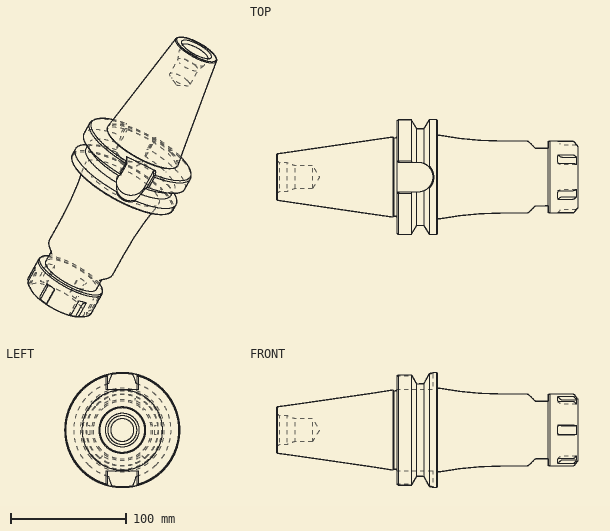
import cadquery as cq
import math

length = 261.8
flange_r = 50.0

tolerance = 0.03

taper_end_x = 101.0
taper_small_r = 20.2
taper_slope = 7 / 48
taper_end_r = taper_small_r + taper_slope * taper_end_x
shank_chamfer = 0.8
relief_depth = 0.8
relief_fillet = 1.0

flange_x = 104.5
flange_end_x = 139.8
flange_rim_length = 1.5
flange_rim_depth = 1.0
flange_back_chamfer = 0.8
groove_center_x = 125.0
groove_floor_width = 6.3
groove_r = 42.1
groove_flank_angle = 31.0

drive_slot_width = 25.7
drive_slot_end_x = 136.0
drive_slot_floor_z = 35.3
drive_slot_chamfer = 1.3
drive_slot_end_chamfer = 0.8

collar_r = 36.5
collar_end_x = 141.6
body_r = 31.5
flare_end_x = 195.0
shoulder_x = 218.3
shoulder_fillet = 3.7
neck_r = 25.1
neck_fillet = 1.0

bore_mouth_r = 14.7
bore_mouth_length = 2.5
counterbore_r = 12.5
counterbore_depth = 9.2
bore_seat_r = 11.3
bore_seat_depth = 12.3
thread_r = 10.0
thread_start = 16.0
thread_end = 31.5
bore_point_angle = 59.0

nut_x = 236.0
nut_r = body_r
nut_back_chamfer_length = 1.5
nut_back_chamfer_depth = 0.5
nut_nose_x = 258.1
nut_nose_r = 26.5
nut_nose_fillet = 2.0

spanner_slot_count = 6
spanner_slot_width = 8.6
spanner_slot_floor_width = 7.3
spanner_slot_x = 244.0
spanner_slot_floor_r = 28.0
spanner_slot_ramp_length = 3.0
spanner_slot_fillet = 3.1


def revolve_about_x(profile):
    """Solid of revolution about the X axis from a closed XY profile."""
    return profile.close().revolve(360, (0, 0, 0), (1, 0, 0))


def rim_at(x):
    """Selector for the circular edge of a turned solid at one X position."""
    low = (x - tolerance, -flange_r - tolerance, -flange_r - tolerance)
    high = (x + tolerance, flange_r + tolerance, flange_r + tolerance)
    return cq.selectors.BoxSelector(low, high, boundingbox=True)


def holder_blank():
    """Turned outside of the holder, from the shank to the neck."""
    half_floor = groove_floor_width / 2
    flank_run = (flange_r - groove_r) * math.tan(math.radians(groove_flank_angle))
    relief_r = taper_end_r - relief_depth

    flare_run = flare_end_x - collar_end_x
    flare_rise = collar_r - body_r
    flare_arc_r = (flare_run**2 + flare_rise**2) / (2 * flare_rise)
    flare_mid_x = flare_end_x - flare_run / 2
    flare_mid_r = body_r + flare_arc_r - math.sqrt(flare_arc_r**2 - (flare_run / 2) ** 2)

    neck_x = shoulder_x + body_r - neck_r

    profile = (
        cq.Workplane("XY")
        .moveTo(0, 0)
        .lineTo(0, taper_small_r - shank_chamfer)
        .lineTo(shank_chamfer, taper_small_r + taper_slope * shank_chamfer)
        .lineTo(taper_end_x, taper_end_r)
        .lineTo(taper_end_x + relief_depth, relief_r)
        .lineTo(flange_x - relief_fillet, relief_r)
        .radiusArc((flange_x, relief_r + relief_fillet), -relief_fillet)
        .lineTo(flange_x, flange_r - flange_rim_depth)
        .lineTo(flange_x + flange_rim_length, flange_r)
        .lineTo(groove_center_x - half_floor - flank_run, flange_r)
        .lineTo(groove_center_x - half_floor, groove_r)
        .lineTo(groove_center_x + half_floor, groove_r)
        .lineTo(groove_center_x + half_floor + flank_run, flange_r)
        .lineTo(flange_end_x - flange_back_chamfer, flange_r)
        .lineTo(flange_end_x, flange_r - flange_back_chamfer)
        .lineTo(flange_end_x, collar_r)
        .lineTo(collar_end_x, collar_r)
        .threePointArc((flare_mid_x, flare_mid_r), (flare_end_x, body_r))
        .lineTo(shoulder_x, body_r)
        .lineTo(neck_x, neck_r)
        .lineTo(nut_x, neck_r)
        .lineTo(nut_x, 0)
    )
    blank = revolve_about_x(profile)
    blank = blank.edges(rim_at(shoulder_x)).fillet(shoulder_fillet)
    return blank.edges(rim_at(neck_x)).fillet(neck_fillet)


def draw_bar_bore():
    """Stepped blind bore with a conical bottom."""
    point_length = thread_r / math.tan(math.radians(bore_point_angle))
    profile = (
        cq.Workplane("XY")
        .moveTo(0, 0)
        .lineTo(0, bore_mouth_r)
        .lineTo(bore_mouth_length, counterbore_r)
        .lineTo(counterbore_depth, counterbore_r)
        .lineTo(bore_seat_depth, bore_seat_r)
        .lineTo(thread_start, thread_r)
        .lineTo(thread_end, thread_r)
        .lineTo(thread_end + point_length, 0)
    )
    return revolve_about_x(profile)


def drive_slot():
    """Round-ended slot cutter above the +Z slot floor, open toward the shank."""
    half_width = drive_slot_width / 2
    center_x = drive_slot_end_x - half_width
    return (
        cq.Workplane("XY", origin=(0, 0, drive_slot_floor_z))
        .moveTo(flange_x, -half_width)
        .lineTo(center_x, -half_width)
        .threePointArc((drive_slot_end_x, 0), (center_x, half_width))
        .lineTo(flange_x, half_width)
        .close()
        .extrude(flange_r)
    )


class DriveSlotRim(cq.Selector):
    """Edges between two X positions where the slot walls meet the flange rim or its front face."""

    def __init__(self, start_x, end_x):
        self.start_x = start_x
        self.end_x = end_x

    def filter(self, edges):
        return [edge for edge in edges if self.on_rim(edge)]

    def on_rim(self, edge):
        middle = edge.positionAt(0.5)
        on_wall = abs(middle.y) < drive_slot_width / 2 + tolerance
        above_floor = abs(middle.z) > drive_slot_floor_z + tolerance
        middle_r = math.hypot(middle.y, middle.z)
        on_outside = middle_r > flange_r - flange_rim_depth or middle.x < flange_x + tolerance
        in_range = self.start_x - tolerance < middle.x < self.end_x
        return on_wall and above_floor and on_outside and in_range


def make_holder():
    holder = holder_blank().cut(draw_bar_bore())
    for turn in (0, 180):
        holder = holder.cut(drive_slot().rotate((0, 0, 0), (1, 0, 0), turn))
    slot_center_x = drive_slot_end_x - drive_slot_width / 2
    holder = holder.edges(DriveSlotRim(flange_x, slot_center_x)).chamfer(drive_slot_chamfer)
    return holder.edges(DriveSlotRim(slot_center_x, flange_end_x)).chamfer(drive_slot_end_chamfer)


def spanner_slot():
    """Slot cutter on the +Y side of the nut with a ramped, rounded inner end."""
    depth = nut_r - spanner_slot_floor_r
    top_r = nut_r + depth
    half_floor = spanner_slot_floor_width / 2
    half_top = spanner_slot_width - half_floor
    ramp_start_x = spanner_slot_x - spanner_slot_ramp_length
    ramp_foot_x = spanner_slot_x + spanner_slot_ramp_length

    side = (
        cq.Workplane("XY", origin=(0, 0, -half_top))
        .moveTo(ramp_start_x, top_r)
        .lineTo(ramp_foot_x, spanner_slot_floor_r)
        .lineTo(length, spanner_slot_floor_r)
        .lineTo(length, top_r)
        .close()
        .extrude(2 * half_top)
    )
    ramp_foot = cq.selectors.NearestToPointSelector((ramp_foot_x, spanner_slot_floor_r, 0))
    side = side.edges("|Z").edges(ramp_foot).fillet(spanner_slot_fillet)

    section = (
        cq.Workplane("YZ", origin=(ramp_start_x, 0, 0))
        .moveTo(spanner_slot_floor_r, -half_floor)
        .lineTo(spanner_slot_floor_r, half_floor)
        .lineTo(top_r, half_top)
        .lineTo(top_r, -half_top)
        .close()
        .extrude(length - ramp_start_x)
    )
    return side.intersect(section)


def make_nut():
    nut = revolve_about_x(
        cq.Workplane("XY")
        .moveTo(nut_x, 0)
        .lineTo(nut_x, nut_r - nut_back_chamfer_depth)
        .lineTo(nut_x + nut_back_chamfer_length, nut_r)
        .lineTo(nut_nose_x, nut_r)
        .lineTo(length, nut_nose_r)
        .lineTo(length, 0)
    )
    nut = nut.edges(rim_at(nut_nose_x)).fillet(nut_nose_fillet)
    for index in range(spanner_slot_count):
        turn = 360 / spanner_slot_count * index
        nut = nut.cut(spanner_slot().rotate((0, 0, 0), (1, 0, 0), turn))
    return nut


holder = make_holder()
nut = make_nut()
result = cq.Compound.makeCompound([holder.solids().val(), nut.solids().val()])